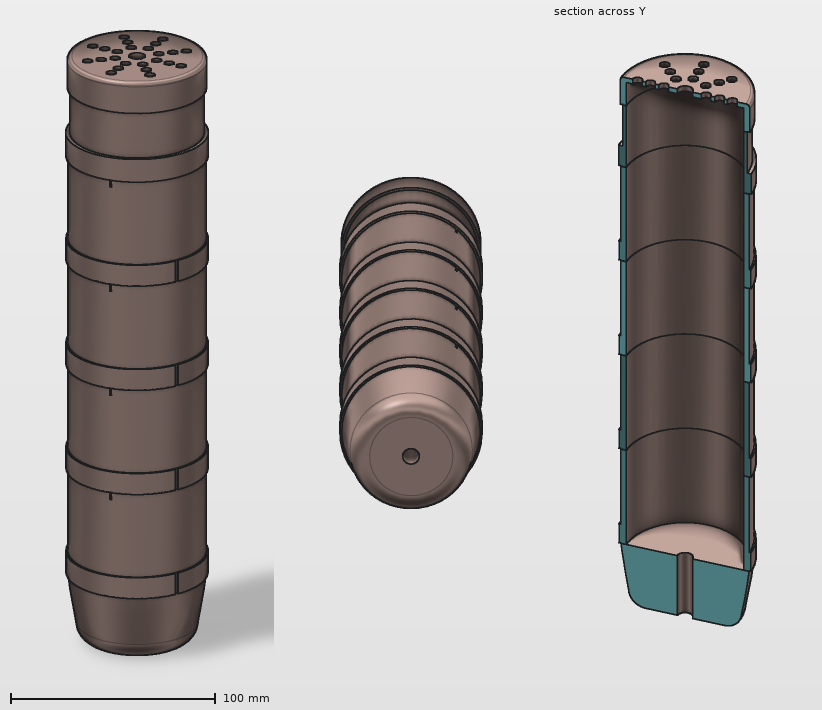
import cadquery as cq
import math

TOTAL_HEIGHT = 307.5
BORE_DIAMETER = 8.0
CAVITY_DIAMETER = 61.5

NOSE_HEIGHT = 35.0
NOSE_SHOULDER_HEIGHT = 9.0
NOSE_SHOULDER_DIAMETER = 59.7
NOSE_FOOT_DIAMETER = 40.5
NOSE_WALL_BULGE = 0.3
HALF_DIAGONAL = math.sqrt(0.5)

SEGMENT_COUNT = 4
SEGMENT_PITCH = 55.0
SEGMENT_DIAMETER = 67.7
COLLAR_DIAMETER = 69.5
COLLAR_HEIGHT = 11.0

COLLAR_SLIT_WIDTH = 1.8
COLLAR_SLIT_ANGLE = -25.6
TUBE_SLIT_WIDTH = 1.0
TUBE_SLIT_ANGLE = -82.2
TUBE_SLIT_HEIGHT = 4.0

ADAPTER_COLLAR_DIAMETER = 69.8
ADAPTER_COLLAR_HEIGHT = 12.0
NECK_DIAMETER = 65.8

CAP_HEIGHT = 16.3
CAP_DIAMETER = 68.3
CAP_PLATE_THICKNESS = 3.0
CAP_EDGE_RADIUS = 2.0
CAP_HOLE_DIAMETER = 5.0
CAP_HOLE_RING_RADII = (11.0, 18.0, 25.0)
CAP_HOLES_PER_RING = 8

ADAPTER_BOTTOM = NOSE_HEIGHT + SEGMENT_COUNT * SEGMENT_PITCH
CAP_BOTTOM = TOTAL_HEIGHT - CAP_HEIGHT


def ring(outer_diameter, inner_diameter, bottom, height):
    """An upright round ring or open tube, standing at the given height."""
    return (
        cq.Workplane("XY", origin=(0, 0, bottom))
        .circle(outer_diameter / 2)
        .circle(inner_diameter / 2)
        .extrude(height)
    )


def slit(angle, width, outer_diameter, inner_diameter, bottom, height):
    """A thin radial cutter spanning a round wall from its outside to its inside."""
    middle_radius = (outer_diameter + inner_diameter) / 4
    depth = (outer_diameter - inner_diameter) / 2
    return (
        cq.Workplane("XY", origin=(0, 0, bottom))
        .center(middle_radius, 0)
        .rect(depth, width)
        .extrude(height)
        .rotate((0, 0, 0), (0, 0, 1), angle)
    )


def make_nose():
    """Tapered nose with a slightly bulging wall and a rounded foot."""
    bore_radius = BORE_DIAMETER / 2
    foot_radius = NOSE_FOOT_DIAMETER / 2
    shoulder_radius = NOSE_SHOULDER_DIAMETER / 2
    top_radius = SEGMENT_DIAMETER / 2
    foot_arc_middle = (
        foot_radius + (shoulder_radius - foot_radius) * HALF_DIAGONAL,
        NOSE_SHOULDER_HEIGHT * (1 - HALF_DIAGONAL),
    )
    wall_middle = (
        (shoulder_radius + top_radius) / 2 + NOSE_WALL_BULGE,
        (NOSE_SHOULDER_HEIGHT + NOSE_HEIGHT) / 2,
    )
    return (
        cq.Workplane("XZ")
        .moveTo(bore_radius, 0)
        .lineTo(foot_radius, 0)
        .threePointArc(foot_arc_middle, (shoulder_radius, NOSE_SHOULDER_HEIGHT))
        .threePointArc(wall_middle, (top_radius, NOSE_HEIGHT))
        .lineTo(bore_radius, NOSE_HEIGHT)
        .close()
        .revolve(360, (0, 0, 0), (0, 1, 0))
    )


def make_segment(bottom):
    """Open tube with a slit down its collar and another through the wall at its upper end."""
    tube_slit_bottom = bottom + SEGMENT_PITCH - TUBE_SLIT_HEIGHT
    tube = ring(SEGMENT_DIAMETER, CAVITY_DIAMETER, bottom, SEGMENT_PITCH)
    collar = ring(COLLAR_DIAMETER, CAVITY_DIAMETER, bottom, COLLAR_HEIGHT)
    collar_slit = slit(
        COLLAR_SLIT_ANGLE, COLLAR_SLIT_WIDTH, COLLAR_DIAMETER, SEGMENT_DIAMETER, bottom, COLLAR_HEIGHT
    )
    tube_slit = slit(
        TUBE_SLIT_ANGLE, TUBE_SLIT_WIDTH, SEGMENT_DIAMETER, CAVITY_DIAMETER, tube_slit_bottom, TUBE_SLIT_HEIGHT
    )
    return tube.union(collar).cut(collar_slit).cut(tube_slit)


def make_adapter():
    """Open tube: a plain collar on the top segment, with the neck that carries the cap."""
    collar = ring(ADAPTER_COLLAR_DIAMETER, CAVITY_DIAMETER, ADAPTER_BOTTOM, ADAPTER_COLLAR_HEIGHT)
    neck = ring(NECK_DIAMETER, CAVITY_DIAMETER, ADAPTER_BOTTOM, CAP_BOTTOM - ADAPTER_BOTTOM)
    return collar.union(neck)


def make_cap():
    """Hollow cap whose top plate has a rounded rim and concentric rings of through holes."""
    plate_bottom = TOTAL_HEIGHT - CAP_PLATE_THICKNESS
    skirt = ring(CAP_DIAMETER, CAVITY_DIAMETER, CAP_BOTTOM, CAP_HEIGHT)
    plate = ring(CAP_DIAMETER, BORE_DIAMETER, plate_bottom, CAP_PLATE_THICKNESS)
    cap = skirt.union(plate)
    cap = cap.faces(">Z").edges(cq.selectors.RadiusNthSelector(-1)).fillet(CAP_EDGE_RADIUS)
    for ring_radius in CAP_HOLE_RING_RADII:
        holes = (
            cq.Workplane("XY", origin=(0, 0, plate_bottom))
            .polarArray(ring_radius, 0, 360, CAP_HOLES_PER_RING)
            .circle(CAP_HOLE_DIAMETER / 2)
            .extrude(CAP_PLATE_THICKNESS)
        )
        cap = cap.cut(holes)
    return cap


nose = make_nose()
segments = [make_segment(NOSE_HEIGHT + index * SEGMENT_PITCH) for index in range(SEGMENT_COUNT)]
adapter = make_adapter()
cap = make_cap()

result = cq.Compound.makeCompound(
    [nose.val(), *[segment.val() for segment in segments], adapter.val(), cap.val()]
)